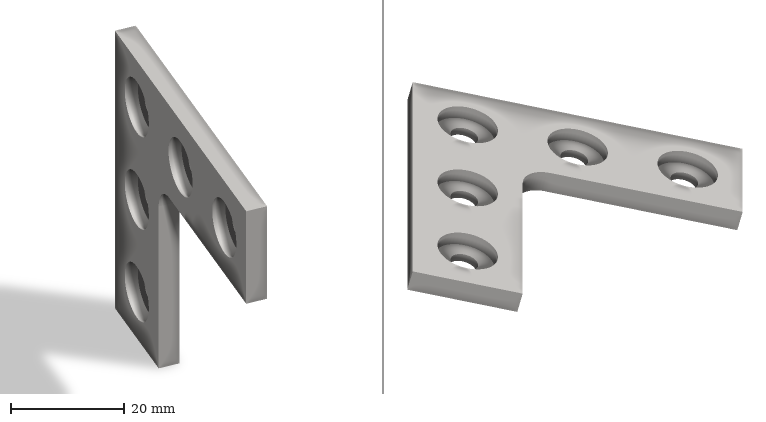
import cadquery as cq

arm_length = 60.0
arm_width = 20.0
thickness = 4.0
inner_corner_radius = 5.0

hole_diameter = 5.0
counterbore_diameter = 11.0
counterbore_depth = 2.5

hole_pitch = arm_width
hole_margin = arm_width / 2
holes_per_arm = 3


def make_plate():
    """L-shaped plate in the XZ plane: one arm along the top, one down the left side."""
    inner_z = arm_length - arm_width
    plate = (
        cq.Workplane("XZ")
        .moveTo(0, 0)
        .lineTo(arm_width, 0)
        .lineTo(arm_width, inner_z)
        .lineTo(arm_length, inner_z)
        .lineTo(arm_length, arm_length)
        .lineTo(0, arm_length)
        .close()
        .extrude(-thickness)
    )
    inner_corner = cq.selectors.NearestToPointSelector((arm_width, thickness / 2, inner_z))
    return plate.edges("|Y").edges(inner_corner).fillet(inner_corner_radius)


def hole_centres():
    """(x, z) of every hole; the two arms share the corner hole."""
    steps = [hole_margin + i * hole_pitch for i in range(holes_per_arm)]
    top_arm = [(x, arm_length - hole_margin) for x in steps]
    side_arm = [(hole_margin, z) for z in steps[:-1]]
    return top_arm + side_arm


def cylinder_from_front(diameter, depth):
    """Cylinders at all hole centres, running from the front face (Y = 0) toward +Y."""
    return cq.Workplane("XZ").pushPoints(hole_centres()).circle(diameter / 2).extrude(-depth)


result = (
    make_plate()
    .cut(cylinder_from_front(hole_diameter, thickness))
    .cut(cylinder_from_front(counterbore_diameter, counterbore_depth))
)